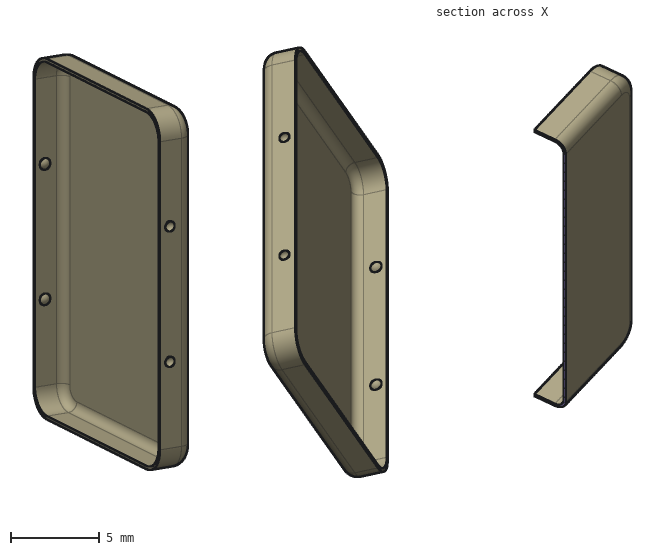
import cadquery as cq

width = 14.4
depth = 2.15
height = 21.3
wall = 0.2

corner_radius = 1.55
back_edge_radius = 0.75

detent_pitch = 8.0
detent_from_rim = 0.65
dimple_radius = 0.3
bump_radius = 0.4


def rounded_block(inset):
    """Block with rounded corners and back edge, inset from the outer shell and open to the rim plane."""
    return (
        cq.Workplane("XZ")
        .rect(width - 2 * inset, height - 2 * inset)
        .extrude(-(depth - inset))
        .edges("|Y")
        .fillet(corner_radius - inset)
        .faces(">Y")
        .edges()
        .fillet(back_edge_radius - inset)
    )


def inward_dome(radius, level):
    """Hemisphere standing inward on the outer face of the -X wall, at height level."""
    return (
        cq.Workplane("XY")
        .lineTo(radius, 0)
        .radiusArc((0, radius), -radius)
        .close()
        .revolve(360, (0, 0), (1, 0))
        .translate((-width / 2, detent_from_rim, level))
    )


def on_both_walls(dome):
    """The dome and its mirror image on the opposite side wall."""
    return dome.union(dome.mirror("YZ"))


result = rounded_block(0).cut(rounded_block(wall))

for level in (-detent_pitch / 2, detent_pitch / 2):
    result = result.union(on_both_walls(inward_dome(bump_radius, level)))
    result = result.cut(on_both_walls(inward_dome(dimple_radius, level)))